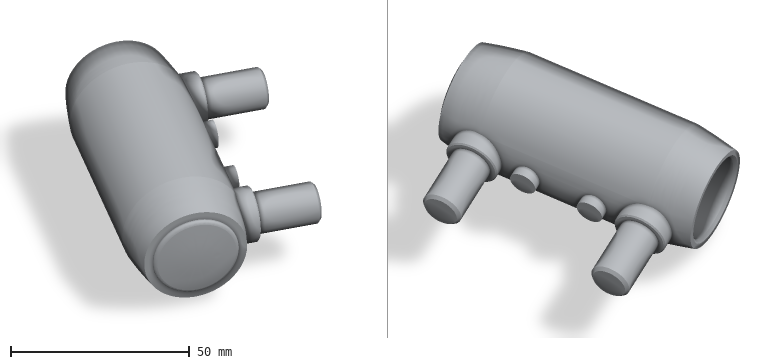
import cadquery as cq

body_length = 79.5
body_radius = 35.0 / 2
end_radius = 30.0 / 2
taper_length = 13.2
taper_bulge = 0.2

bore_radius = 25.0 / 2
mouth_chamfer = 0.9
lid_thickness = 1.15

overall_length = 81.7
dome_radius = bore_radius
dome_side_height = 1.1
dome_fillet = 1.2
dish_radius = 21.65 / 2
dish_depth = 0.9

pin_radius = 12.0 / 2
pin_top = 39.05
pin_chamfer = 0.9
collar_radius = 16.0 / 2
collar_top = 20.6
collar_chamfer = 0.4
stud_radius = 8.0 / 2
stud_top = 20.1
stud_spacing = 21.0

body_middle = body_length / 2
pin_offset = body_middle - taper_length
stud_offset = stud_spacing / 2
post_root = (bore_radius + end_radius) / 2


def revolve_about_x(profile):
    return profile.close().revolve(360, (0, 0, 0), (1, 0, 0))


def make_body():
    taper_middle_radius = (body_radius + end_radius) / 2 + taper_bulge
    profile = (
        cq.Workplane("XY")
        .lineTo(0, end_radius)
        .threePointArc((taper_length / 2, taper_middle_radius), (taper_length, body_radius))
        .lineTo(body_length - taper_length, body_radius)
        .threePointArc(
            (body_length - taper_length / 2, taper_middle_radius),
            (body_length, end_radius),
        )
        .lineTo(body_length, 0)
    )
    return revolve_about_x(profile)


def add_cap_arc(profile, rim_x, rim_radius, apex_x):
    """Run a spherical cap from its rim to its apex on the X axis."""
    height = apex_x - rim_x
    sphere_radius = (rim_radius**2 + height**2) / (2 * height)
    middle_radius = rim_radius / 2
    sphere_centre = apex_x - sphere_radius
    middle_x = sphere_centre + (sphere_radius**2 - middle_radius**2) ** 0.5
    return profile.threePointArc((middle_x, middle_radius), (apex_x, 0))


def make_dome():
    inner_x = body_length - lid_thickness
    rim_x = body_length + dome_side_height
    profile = (
        cq.Workplane("XY")
        .moveTo(inner_x, 0)
        .lineTo(inner_x, dome_radius)
        .lineTo(rim_x, dome_radius)
    )
    dome = revolve_about_x(add_cap_arc(profile, rim_x, dome_radius, overall_length))
    rim = cq.selectors.NearestToPointSelector((rim_x, 0, 0))
    return dome.edges("%CIRCLE").edges(rim).fillet(dome_fillet)


def make_bore():
    floor_x = body_length - lid_thickness
    profile = (
        cq.Workplane("XY")
        .lineTo(0, bore_radius + mouth_chamfer)
        .lineTo(mouth_chamfer, bore_radius)
        .lineTo(floor_x, bore_radius)
        .lineTo(floor_x, dish_radius)
    )
    return revolve_about_x(add_cap_arc(profile, floor_x, dish_radius, floor_x + dish_depth))


def make_post(x, radius, top_y, chamfer=0):
    """Make a round post along +Y, rooted in the tube wall."""
    base = cq.Workplane("XZ", origin=(x, post_root, 0))
    post = base.circle(radius).extrude(post_root - top_y)
    if chamfer:
        post = post.faces(">Y").chamfer(chamfer)
    return post


outside = make_body().union(make_dome())
for side in (-1, 1):
    pin_x = body_middle + side * pin_offset
    outside = outside.union(make_post(pin_x, collar_radius, collar_top, collar_chamfer))
    outside = outside.union(make_post(pin_x, pin_radius, pin_top, pin_chamfer))
    stud_x = body_middle + side * stud_offset
    outside = outside.union(make_post(stud_x, stud_radius, stud_top))

result = outside.cut(make_bore())